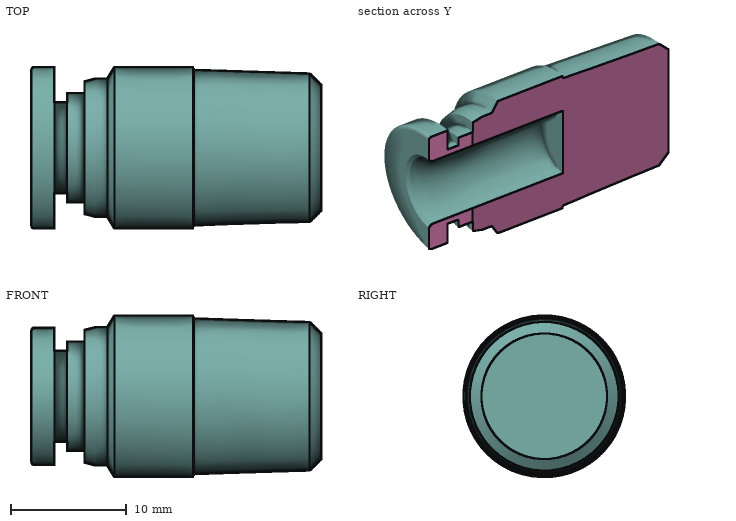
import cadquery as cq


flange_width = 14.0
flange_height = 11.9
flange_thickness = 2.0
flange_rounding = 0.3
neck_diameter = 7.9
tube_bore_diameter = 6.55
bore_chamfer = 0.3
collar_start = 3.1
collar_diameter = 9.5
sleeve_length = 4.6

total_length = 25.1
nose_start = sleeve_length
nose_land_start = 5.6
shoulder_start = 6.6
barrel_start = 7.2
barrel_end = 14.0
thread_start = 14.1
blind_bore_end = barrel_end

nose_tip_diameter = 11.5
nose_diameter = 12.0
barrel_diameter = 14.0
land_diameter = 13.6
thread_large_diameter = 13.5
thread_taper = 1 / 16
thread_chamfer = 1.0

thread_chamfer_start = total_length - thread_chamfer
thread_small_diameter = thread_large_diameter - thread_taper * (thread_chamfer_start - thread_start)
thread_tip_diameter = thread_small_diameter - 2 * thread_chamfer


def cylinder(start, end, diameter):
    """Cylinder along X between two places."""
    return cq.Workplane("YZ", origin=(start, 0, 0)).circle(diameter / 2).extrude(end - start)


def make_sleeve():
    """Oval push flange, neck and collar in one piece, bored through for the tube."""
    flange = (
        cq.Workplane("YZ")
        .ellipse(flange_width / 2, flange_height / 2)
        .extrude(flange_thickness)
        .faces("<X")
        .edges()
        .fillet(flange_rounding)
    )
    neck = cylinder(flange_thickness, collar_start, neck_diameter)
    collar = cylinder(collar_start, sleeve_length, collar_diameter)
    bore = cylinder(0, sleeve_length, tube_bore_diameter)
    sleeve = flange.union(neck).union(collar).cut(bore)
    return sleeve.faces("<X").edges("%CIRCLE").chamfer(bore_chamfer)


def make_body():
    """Turned body with a blind tube bore, a bevelled nose, a plain barrel and a tapered thread end."""
    outline = [
        (nose_start, nose_tip_diameter),
        (nose_land_start, nose_diameter),
        (shoulder_start, nose_diameter),
        (barrel_start, barrel_diameter),
        (barrel_end, barrel_diameter),
        (barrel_end, land_diameter),
        (thread_start, land_diameter),
        (thread_start, thread_large_diameter),
        (thread_chamfer_start, thread_small_diameter),
        (total_length, thread_tip_diameter),
    ]
    half_section = cq.Workplane("XY").moveTo(nose_start, 0)
    for place, diameter in outline:
        half_section = half_section.lineTo(place, diameter / 2)
    turned = half_section.lineTo(total_length, 0).close().revolve(360, (0, 0, 0), (1, 0, 0))
    bore = cylinder(nose_start, blind_bore_end, tube_bore_diameter)
    return turned.cut(bore)


sleeve = make_sleeve()
body = make_body()

result = cq.Compound.makeCompound([sleeve.val(), body.val()])